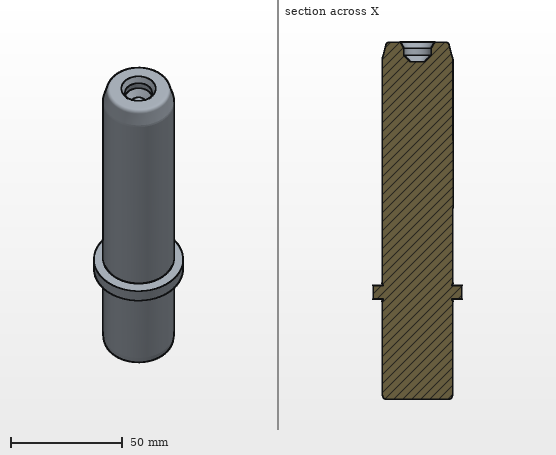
import cadquery as cq
import math

length = 160.0
pin_radius = 16.0
collar_radius = 20.0
collar_bottom = 45.0
collar_thickness = 6.0
neck_radius = 15.4
neck_height = 1.0
lead_angle = math.radians(15)

lead_start = 152.2
lead_edge_round = 2.0
lead_blend_round = 4.0

foot_height = 4.3
foot_edge_round = 2.0
foot_angle = math.radians(5)

mouth_radius = 7.7
seat_radius = 6.0
band_length = 3.2
drill_radius = 3.2
mouth_angle = math.radians(30)
seat_angle = math.radians(45)

collar_top = collar_bottom + collar_thickness
lead_top_radius = pin_radius - (length - lead_start) * math.tan(lead_angle)
foot_radius = pin_radius - foot_height * math.tan(foot_angle)
mouth_depth = (mouth_radius - seat_radius) / math.tan(mouth_angle)
band_depth = mouth_depth + band_length
drill_depth = band_depth + (seat_radius - drill_radius) / math.tan(seat_angle)


def revolve_profile(points):
    """Turn a closed (radius, height) outline about the Z axis."""
    return cq.Workplane("XZ").polyline(points).close().revolve(360, (0, 0), (0, 1))


def round_circle(body, radius, height, size):
    """Round the circular edge of the given radius and height."""
    tolerance = 0.02
    reach = radius + tolerance
    box = (-reach, -reach, height - tolerance, reach, reach, height + tolerance)
    return body.edges(cq.selectors.BoxSelector(box[:3], box[3:], boundingbox=True)).fillet(size)


body = revolve_profile([
    (0, 0),
    (foot_radius, 0),
    (pin_radius, foot_height),
    (pin_radius, collar_bottom - neck_height),
    (neck_radius, collar_bottom),
    (collar_radius, collar_bottom),
    (collar_radius, collar_top),
    (neck_radius, collar_top),
    (pin_radius, collar_top + neck_height),
    (pin_radius, lead_start),
    (lead_top_radius, length),
    (0, length),
])
body = round_circle(body, pin_radius, lead_start, lead_blend_round)
body = round_circle(body, lead_top_radius, length, lead_edge_round)
body = round_circle(body, foot_radius, 0, foot_edge_round)

centre_hole = revolve_profile([
    (0, length),
    (mouth_radius, length),
    (seat_radius, length - mouth_depth),
    (seat_radius, length - band_depth),
    (drill_radius, length - drill_depth),
    (0, length - drill_depth),
])

result = body.cut(centre_hole)